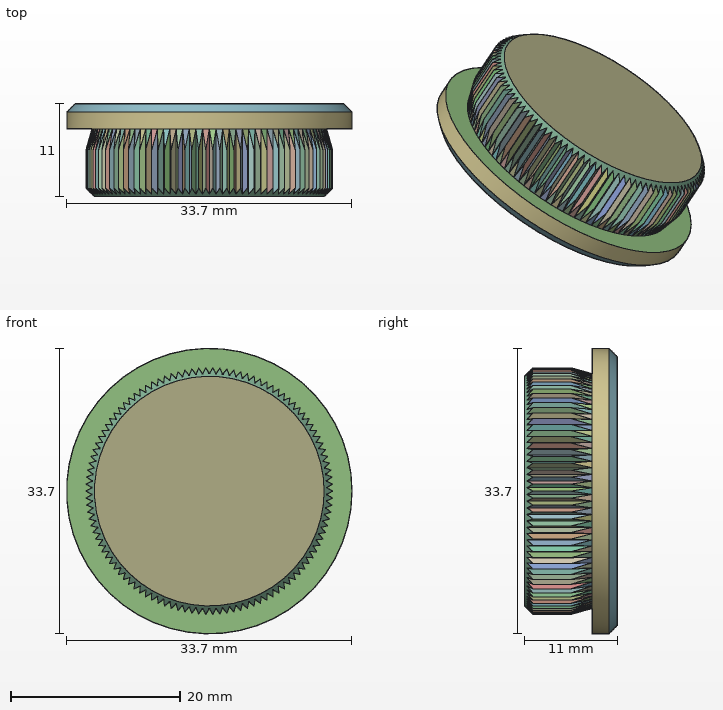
import cadquery as cq
import math

head_radius = 16.85
head_thickness = 3.0
chamfer = 1.0
plug_length = 8.0

tooth_count = 110
tip_radius = 14.55
tooth_depth = 0.7
root_radius = tip_radius - tooth_depth
taper_length = 2.5
end_radius = tip_radius - chamfer


def make_head():
    """Disc on the +Y side with a chamfered outer rim."""
    disc = cq.Workplane("XZ").circle(head_radius).extrude(-head_thickness)
    return disc.faces(">Y").chamfer(chamfer)


def tooth_outline():
    """Closed ring of sharp V teeth with one valley exactly at +Z."""
    half_pitch = math.pi / tooth_count
    points = []
    for i in range(2 * tooth_count):
        angle = math.pi / 2 + i * half_pitch
        radius = root_radius if i % 2 == 0 else tip_radius
        points.append((radius * math.cos(angle), radius * math.sin(angle)))
    return points


def plug_envelope():
    """Turned shape that trims the teeth: taper, straight stretch, end chamfer."""
    return (
        cq.Workplane("XY")
        .lineTo(root_radius, 0)
        .lineTo(tip_radius, -taper_length)
        .lineTo(tip_radius, -plug_length + chamfer)
        .lineTo(end_radius, -plug_length)
        .lineTo(0, -plug_length)
        .close()
        .revolve(360, (0, 0, 0), (0, 1, 0))
    )


def make_plug():
    """Straight-toothed bar trimmed to the turned envelope."""
    toothed_bar = cq.Workplane("XZ").polyline(tooth_outline()).close().extrude(plug_length)
    return toothed_bar.intersect(plug_envelope())


result = make_head().union(make_plug())